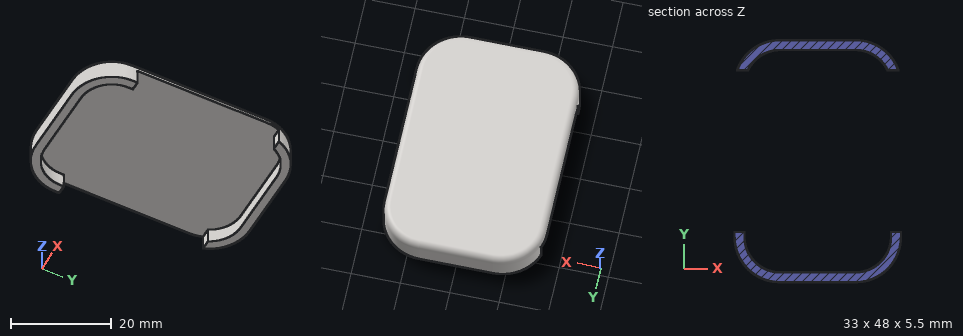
import cadquery as cq

width = 33.0
length = 48.0
height = 5.5
corner_radius = 9.0
top_edge_radius = 1.5

wall = 2.0
plate = 2.0
skirt_height = height - plate

front_end_length = 10.0
back_end_length = 6.0


def rounded_block(size_x, size_y, size_z, radius):
    """Block standing on Z = 0, centred in X and Y, with rounded vertical corners."""
    block = cq.Workplane("XY").box(size_x, size_y, size_z, centered=(True, True, False))
    return block.edges("|Z").fillet(radius)


def cover_body():
    """Solid outer shape with its top rim rounded."""
    block = rounded_block(width, length, height, corner_radius)
    return block.faces(">Z").edges().fillet(top_edge_radius)


def underside_cavity():
    """Hollow that leaves a top plate and an even skirt wall."""
    return rounded_block(width - 2 * wall, length - 2 * wall, skirt_height, corner_radius - wall)


def side_opening():
    """Gap through the skirt on both long sides, up to the top plate."""
    opening_length = length - front_end_length - back_end_length
    opening_center_y = (front_end_length - back_end_length) / 2
    gap = cq.Workplane("XY").box(width, opening_length, skirt_height, centered=(True, True, False))
    return gap.translate((0, opening_center_y, 0))


result = cover_body().cut(underside_cavity()).cut(side_opening())